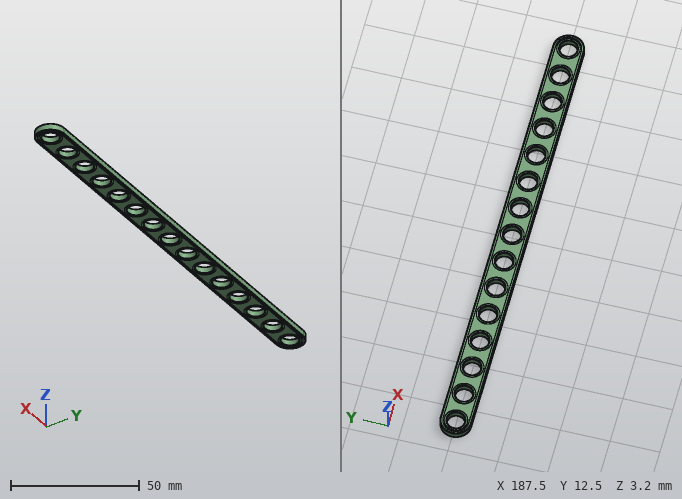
import cadquery as cq

length = 187.5
hole_count = 15
thickness = 3.2
hole_diameter = 7.0
bead_height = 0.32
bead_width = 0.8
ledge_width = 0.4

pitch = length / hole_count
width = pitch
hole_centres = [((i - (hole_count - 1) / 2) * pitch, 0) for i in range(hole_count)]

collar_inner_diameter = hole_diameter + 2 * ledge_width
collar_outer_diameter = collar_inner_diameter + 2 * bead_width

plate_level = thickness / 2 - bead_height


def rounded_bar(base_level, inset, height):
    """Bar with fully rounded ends, set back from the outline of the part by inset."""
    base = cq.Workplane("XY").workplane(offset=base_level)
    return base.slot2D(length - 2 * inset, width - 2 * inset).extrude(height)


def discs(base_level, diameter, height):
    """One disc at every hole position."""
    base = cq.Workplane("XY").workplane(offset=base_level)
    return base.pushPoints(hole_centres).circle(diameter / 2).extrude(height)


def make_upper_rim():
    """Raised bead that follows the outline on the upper face."""
    outer = rounded_bar(plate_level, ledge_width, bead_height)
    inner = rounded_bar(plate_level, ledge_width + bead_width, bead_height)
    return outer.cut(inner)


def make_upper_collars():
    """Raised ring around every hole on the upper face."""
    outer = discs(plate_level, collar_outer_diameter, bead_height)
    inner = discs(plate_level, collar_inner_diameter, bead_height)
    return outer.cut(inner)


plate = rounded_bar(-plate_level, 0, 2 * plate_level)
holes = discs(-plate_level, hole_diameter, 2 * plate_level)
result = plate.cut(holes)

for upper_beads in (make_upper_rim(), make_upper_collars()):
    result = result.union(upper_beads).union(upper_beads.mirror("XY"))